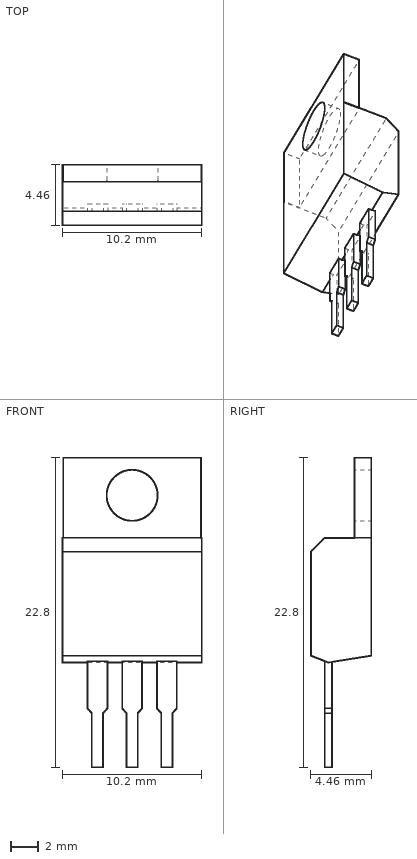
import cadquery as cq

total_height = 22.77
body_width = 10.25
body_depth = 4.46

body_top = 16.87
body_side_bottom = 8.2
body_lowest = 7.7
top_chamfer = 1.02
lowest_edge_depth = 3.17

tab_width = 10.15
tab_thickness = 1.25
hole_diameter = 3.73
hole_height = 20.0

lead_pitch = 2.55
lead_thickness = 0.55
lead_center_depth = lowest_edge_depth
lead_wide = 1.48
lead_narrow = 0.85
shoulder_top = 4.33
shoulder_bottom = 3.98
lead_embed = 0.9


def make_body():
    """Side profile in the YZ plane, extruded across the width."""
    profile = [
        (0, body_side_bottom),
        (0, body_top),
        (-(body_depth - top_chamfer), body_top),
        (-body_depth, body_top - top_chamfer),
        (-body_depth, body_side_bottom),
        (-lowest_edge_depth, body_lowest),
    ]
    return cq.Workplane("YZ").polyline(profile).close().extrude(body_width / 2, both=True)


def make_tab():
    """Flat plate flush with the back of the body, with a mounting hole."""
    tab_height = total_height - body_side_bottom
    plate = cq.Workplane("XY").box(tab_width, tab_thickness, tab_height, centered=(True, False, False))
    plate = plate.translate((0, -tab_thickness, body_side_bottom))
    hole = (
        cq.Workplane("XZ")
        .center(0, hole_height)
        .circle(hole_diameter / 2)
        .extrude(tab_thickness)
    )
    return plate.cut(hole)


def make_lead(center_x):
    """Flat lead that narrows through sloped shoulders towards its tip."""
    half_wide = lead_wide / 2
    half_narrow = lead_narrow / 2
    lead_top = body_lowest + lead_embed
    right_edge = [
        (half_narrow, 0),
        (half_narrow, shoulder_bottom),
        (half_wide, shoulder_top),
        (half_wide, lead_top),
    ]
    left_edge = [(-x, z) for x, z in reversed(right_edge)]
    lead = cq.Workplane("XZ").polyline(right_edge + left_edge).close()
    lead = lead.extrude(lead_thickness / 2, both=True)
    return lead.translate((center_x, -lead_center_depth, 0))


result = make_body().union(make_tab())
for position in (-1, 0, 1):
    result = result.union(make_lead(position * lead_pitch))